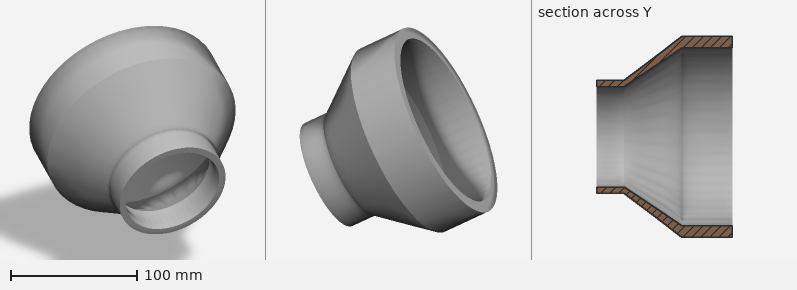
import cadquery as cq

large_diameter = 160.0
large_wall = 9.5
large_length = 40.0

small_diameter = 90.0
small_wall = 5.4
small_length = 22.0

total_length = 108.0

large_radius = large_diameter / 2
small_radius = small_diameter / 2
cone_end = total_length - small_length


def stepped_cone(large_end_radius, small_end_radius):
    """Solid of revolution about X: large cylinder, cone, small cylinder."""
    profile = (
        cq.Workplane("XY")
        .moveTo(0, 0)
        .lineTo(0, large_end_radius)
        .lineTo(large_length, large_end_radius)
        .lineTo(cone_end, small_end_radius)
        .lineTo(total_length, small_end_radius)
        .lineTo(total_length, 0)
        .close()
    )
    return profile.revolve(360, (0, 0, 0), (1, 0, 0))


outer_body = stepped_cone(large_radius, small_radius)
bore = stepped_cone(large_radius - large_wall, small_radius - small_wall)

result = outer_body.cut(bore)